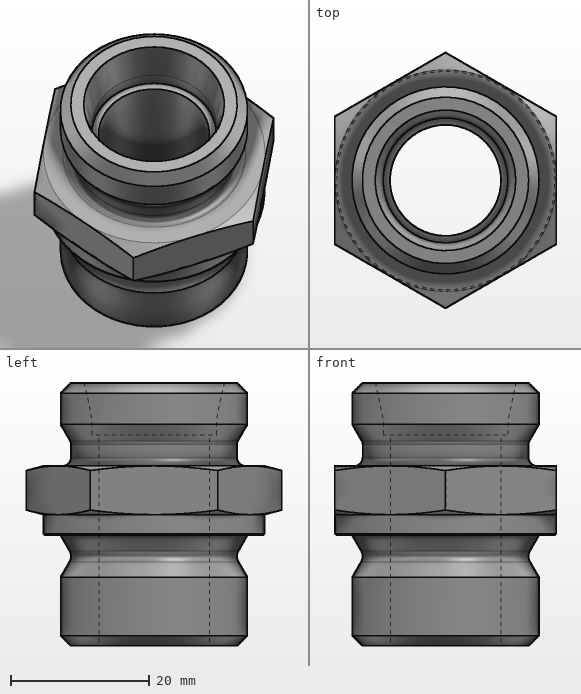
import cadquery as cq
import math

total_height = 38.0
hex_across_flats = 32.0
hex_bottom = 18.95
hex_top = 26.0
hex_bevel_angle = 15.0
corner_clearance = 0.38

collar_radius = hex_across_flats / 2
collar_bottom = 16.0
collar_edge = 0.23

thread_radius = 27.0 / 2
neck_radius = 24.0 / 2
end_chamfer = thread_radius - neck_radius
groove_angle = 30.0

lower_thread_top = 9.9
lower_groove_round = 1.6

upper_thread_bottom = 32.0
upper_groove_round = 1.0
hex_fillet = 1.2

bore_radius = 16.0 / 2
seat_radius = 18.0 / 2
mouth_radius = 20.3 / 2
seat_depth = 7.5
cone_half_angle = 12.0

groove_slope = math.tan(math.radians(groove_angle))
hex_corner_radius = hex_across_flats / math.sqrt(3)
cone_depth = (mouth_radius - seat_radius) / math.tan(math.radians(cone_half_angle))


def make_hexagon():
    """Hexagon with corners on Y, its corners bevelled at both faces."""
    prism = (
        cq.Workplane("XY", origin=(0, 0, hex_bottom))
        .polygon(6, 2 * hex_corner_radius)
        .extrude(hex_top - hex_bottom)
        .rotate((0, 0, 0), (0, 0, 1), 90)
    )
    face_radius = hex_across_flats / 2
    outer_radius = hex_corner_radius + corner_clearance
    drop = (outer_radius - face_radius) * math.tan(math.radians(hex_bevel_angle))
    bevel_envelope = (
        cq.Workplane("XZ")
        .moveTo(0, hex_bottom)
        .lineTo(face_radius, hex_bottom)
        .lineTo(outer_radius, hex_bottom + drop)
        .lineTo(outer_radius, hex_top - drop)
        .lineTo(face_radius, hex_top)
        .lineTo(0, hex_top)
        .close()
        .revolve(360, (0, 0, 0), (0, 1, 0))
    )
    return prism.intersect(bevel_envelope)


def make_lower_end():
    """Threaded end, round-bottomed groove and collar."""
    half_arc = lower_groove_round * math.sin(math.radians(groove_angle))
    arc_rise = lower_groove_round * (1 - math.cos(math.radians(groove_angle)))
    arc_end_radius = neck_radius + arc_rise
    wall_height = (thread_radius - arc_end_radius) / groove_slope
    groove_center = lower_thread_top + wall_height + half_arc
    arc_top = groove_center + half_arc
    wall_top_radius = arc_end_radius + (collar_bottom - arc_top) * groove_slope
    return (
        cq.Workplane("XZ")
        .lineTo(thread_radius - end_chamfer, 0)
        .lineTo(thread_radius, end_chamfer)
        .lineTo(thread_radius, lower_thread_top)
        .lineTo(arc_end_radius, groove_center - half_arc)
        .threePointArc((neck_radius, groove_center), (arc_end_radius, arc_top))
        .lineTo(wall_top_radius, collar_bottom)
        .lineTo(collar_radius - collar_edge, collar_bottom)
        .lineTo(collar_radius, collar_bottom + collar_edge)
        .lineTo(collar_radius, hex_bottom)
        .lineTo(0, hex_bottom)
        .close()
        .revolve(360, (0, 0, 0), (0, 1, 0))
    )


def make_upper_end():
    """Threaded end and neck, flaring into the hexagon's top face."""
    half_angle = math.radians(groove_angle / 2)
    full_angle = math.radians(groove_angle)
    wall_height = (thread_radius - neck_radius) / groove_slope
    wall_foot = upper_thread_bottom - wall_height
    round_bottom = wall_foot - upper_groove_round * math.tan(half_angle)

    def groove_point(angle):
        return (
            neck_radius + upper_groove_round * (1 - math.cos(angle)),
            round_bottom + upper_groove_round * math.sin(angle),
        )

    fillet_offset = hex_fillet * (1 - math.sqrt(0.5))
    return (
        cq.Workplane("XZ")
        .moveTo(0, hex_top)
        .lineTo(neck_radius + hex_fillet, hex_top)
        .threePointArc(
            (neck_radius + fillet_offset, hex_top + fillet_offset),
            (neck_radius, hex_top + hex_fillet),
        )
        .lineTo(neck_radius, round_bottom)
        .threePointArc(groove_point(half_angle), groove_point(full_angle))
        .lineTo(thread_radius, upper_thread_bottom)
        .lineTo(thread_radius, total_height - end_chamfer)
        .lineTo(thread_radius - end_chamfer, total_height)
        .lineTo(0, total_height)
        .close()
        .revolve(360, (0, 0, 0), (0, 1, 0))
    )


def make_bore():
    """Through bore, tube seat and conical mouth."""
    seat_floor = total_height - seat_depth
    return (
        cq.Workplane("XZ")
        .lineTo(bore_radius, 0)
        .lineTo(bore_radius, seat_floor)
        .lineTo(seat_radius, seat_floor)
        .lineTo(seat_radius, total_height - cone_depth)
        .lineTo(mouth_radius, total_height)
        .lineTo(0, total_height)
        .close()
        .revolve(360, (0, 0, 0), (0, 1, 0))
    )


result = make_lower_end().union(make_hexagon()).union(make_upper_end()).cut(make_bore())